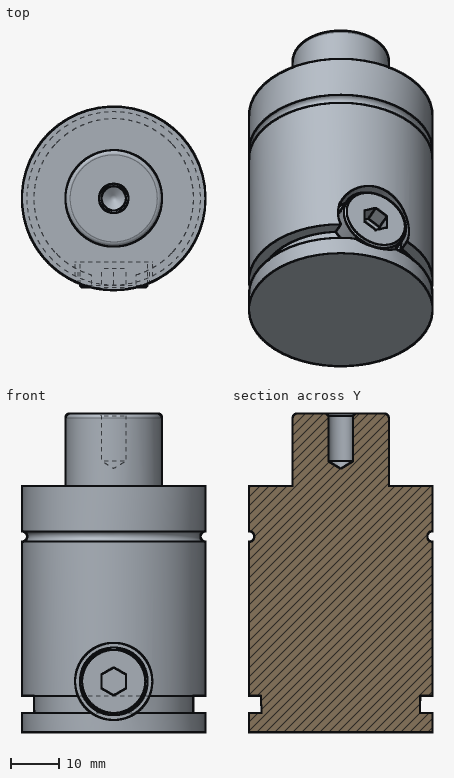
import cadquery as cq
import math

height = 66.0
body_radius = 38.0 / 2
shoulder_z = 51.0
rod_radius = 20.0 / 2
rod_rounding = 1.0

round_groove_z = 40.5
round_groove_radius = 1.05

square_groove_bottom = 4.0
square_groove_top = 7.6
square_groove_radius = 16.5

hole_radius = 5.0 / 2
hole_mouth_radius = 3.05
hole_depth = 9.9
drill_tip_half_angle = 59

plug_z = 10.55
recess_radius = 16.0 / 2
recess_floor = 13.2
plug_radius = 14.0 / 2
plug_face = 18.5
plug_chamfer = 0.45
hex_across_flats = 5.0
hex_depth = 3.95


def make_body():
    """Turned body with rod, rounded rod end and both grooves."""
    outline = (
        cq.Workplane("XZ")
        .lineTo(body_radius, 0)
        .lineTo(body_radius, square_groove_bottom)
        .lineTo(square_groove_radius, square_groove_bottom)
        .lineTo(square_groove_radius, square_groove_top)
        .lineTo(body_radius, square_groove_top)
        .lineTo(body_radius, round_groove_z - round_groove_radius)
        .threePointArc(
            (body_radius - round_groove_radius, round_groove_z),
            (body_radius, round_groove_z + round_groove_radius),
        )
        .lineTo(body_radius, shoulder_z)
        .lineTo(rod_radius, shoulder_z)
        .lineTo(rod_radius, height)
        .lineTo(0, height)
        .close()
    )
    body = outline.revolve(360, (0, 0, 0), (0, 1, 0))
    return body.faces(">Z").edges().fillet(rod_rounding)


def make_rod_hole():
    """Drilled hole with a countersunk mouth and a conical tip."""
    mouth_depth = hole_mouth_radius - hole_radius
    tip_length = hole_radius / math.tan(math.radians(drill_tip_half_angle))
    hole_bottom = height - hole_depth
    outline = (
        cq.Workplane("XZ")
        .moveTo(0, height)
        .lineTo(hole_mouth_radius, height)
        .lineTo(hole_radius, height - mouth_depth)
        .lineTo(hole_radius, hole_bottom)
        .lineTo(0, hole_bottom - tip_length)
        .close()
    )
    return outline.revolve(360, (0, 0, 0), (0, 1, 0))


def plug_plane(distance):
    """Workplane facing -Y, centred on the plug axis."""
    return cq.Workplane("XZ", origin=(0, -distance, plug_z))


def add_side_plug(body):
    """Round recess in the side with an annular gap around a hex socket plug."""
    recess = plug_plane(recess_floor).circle(recess_radius).extrude(body_radius - recess_floor)
    plug = plug_plane(recess_floor).circle(plug_radius).extrude(plug_face - recess_floor)
    plug = plug.faces("<Y").edges().chamfer(plug_chamfer)

    hex_across_corners = hex_across_flats / math.cos(math.pi / 6)
    socket = (
        plug_plane(plug_face - hex_depth)
        .transformed(rotate=(0, 0, 90))
        .polygon(6, hex_across_corners)
        .extrude(hex_depth)
    )
    return body.cut(recess).union(plug).cut(socket)


result = add_side_plug(make_body()).cut(make_rod_hole())